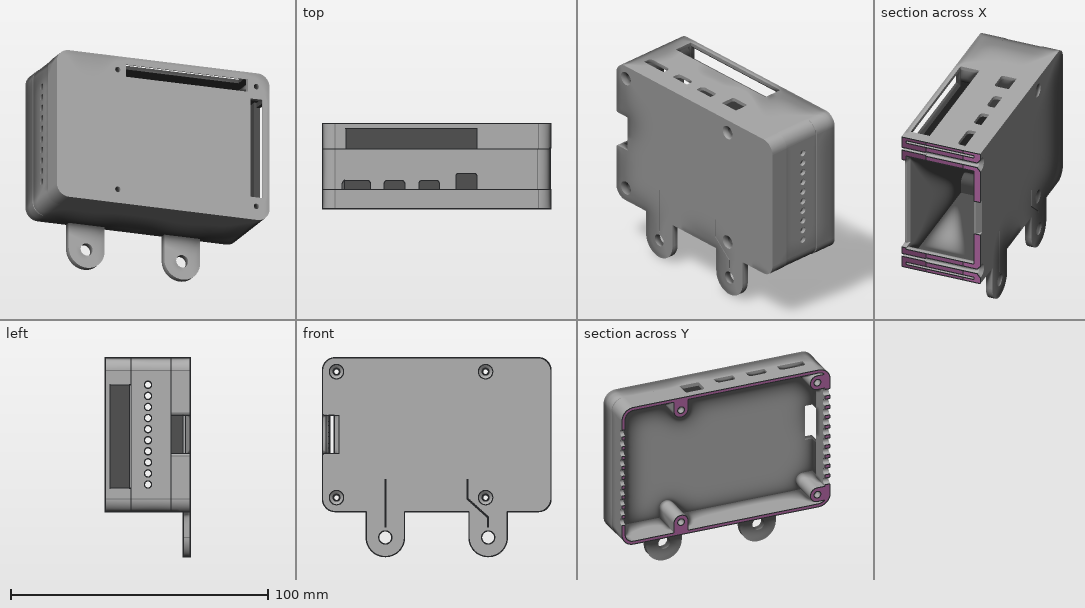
import cadquery as cq
import math

length = 89.0
height = 60.0
corner_radius = 5.0
wall = 1.5

total_depth = 33.19
base_depth = 7.6
cover_depth = 10.0
frame_front = base_depth
frame_back = total_depth - cover_depth

base_plate = 2.8
tab_radius = 7.5
tab_hole_diameter = 5.0
tab_centers_x = (24.5, 64.5)
tab_drop = 10.0

screw_diameter = 2.7
thread_diameter = 2.2
screw_head_diameter = 5.6
countersink_angle = 90.0
boss_radius = 3.1
screw_inset = 5.5
screw_spacing_x = 58.0
screw_points = [
    (x, z)
    for x in (screw_inset, screw_inset + screw_spacing_x)
    for z in (screw_inset, height - screw_inset)
]

notch_width = 4.6
notch_height = 14.8
notch_center_z = 30.1
notch_chamfer = 1.85
notch_fillet = 1.0

mark_width = 0.4
mark_depth = 0.4
mark_top_z = 12.6
mark_bottom_z = -6.0
mark_bend_x = 56.5
mark_bend_top_z = 5.0
mark_bend_bottom_z = -2.2

frame_length = length - 0.3
left_liner = 1.0
vent_diameter = 2.7
vent_count = 10
vent_pitch = 4.31
vent_center_z = 30.0
vent_y = 16.5

ports = (
    (7.7, 11.1, 3.5, 1.5),
    (24.0, 8.1, 3.5, 1.5),
    (37.5, 8.1, 3.5, 1.5),
    (52.0, 8.1, 6.2, 1.0),
)

cover_plate = 2.0
cover_inner_y = total_depth - cover_plate
slot_reach = 8.0
slot_edge_chamfer = 1.5
slot_far_chamfer = 1.0
left_slot_bottom = 9.2
left_slot_top = 49.4
top_slot_left = 9.1
top_slot_right = 60.1

gap_depth = 0.5
gap_inset = 3.0


def block(x0, x1, y0, y1, z0, z1):
    """Box between two opposite corners."""
    return cq.Workplane("XY").box(x1 - x0, y1 - y0, z1 - z0, centered=False).translate((x0, y0, z0))


def front_plane(y):
    """Sketch plane parallel to the front face; its normal points to -Y."""
    return cq.Workplane("XZ", origin=(0, y, 0))


def rounded_slab(y0, y1, slab_length, inset=0.0):
    """Rounded rectangle between y0 and y1, shrunk by inset on every side."""
    slab = block(inset, slab_length - inset, y0, y1, inset, height - inset)
    return slab.edges("|Y").fillet(corner_radius - inset)


def rods(points, diameter, y0, y1):
    """Cylinders along Y at the given (x, z) points."""
    return front_plane(y1).pushPoints(points).circle(diameter / 2).extrude(y1 - y0)


def y_prism(outline, y0, y1):
    """Prism along Y from a closed (x, z) outline."""
    return front_plane(y1).polyline(outline).close().extrude(y1 - y0)


def mounting_tab(center_x):
    """Rounded tab that hangs below the base plate."""
    stem = block(center_x - tab_radius, center_x + tab_radius, 0, base_plate, -tab_drop, base_plate)
    return stem.union(rods([(center_x, -tab_drop)], 2 * tab_radius, 0, base_plate))


def straight_mark():
    """Vertical groove above the left tab hole."""
    x = tab_centers_x[0]
    return block(x - mark_width / 2, x + mark_width / 2, 0, mark_depth, mark_bottom_z, mark_top_z)


def bent_mark():
    """Groove that steps sideways to clear the lower right screw."""
    half = mark_width / 2
    end_x = tab_centers_x[1]
    slope = math.atan2(mark_bend_top_z - mark_bend_bottom_z, end_x - mark_bend_x)
    shift = half * math.tan(slope / 2 - math.pi / 4)
    right_side = [
        (mark_bend_x + half, mark_top_z),
        (mark_bend_x + half, mark_bend_top_z - shift),
        (end_x + half, mark_bend_bottom_z - shift),
        (end_x + half, mark_bottom_z),
    ]
    left_side = [
        (end_x - half, mark_bottom_z),
        (end_x - half, mark_bend_bottom_z + shift),
        (mark_bend_x - half, mark_bend_top_z + shift),
        (mark_bend_x - half, mark_top_z),
    ]
    return y_prism(right_side + left_side, 0, mark_depth)


def connector_notch():
    """Opening through the left wall and plate, flared toward the front and left faces."""
    z0 = notch_center_z - notch_height / 2
    z1 = notch_center_z + notch_height / 2
    opening = (
        cq.Workplane("XY", origin=(0, 0, z0))
        .moveTo(0, 0)
        .lineTo(notch_width + notch_chamfer, 0)
        .lineTo(notch_width, notch_chamfer)
        .lineTo(notch_width, base_depth)
        .lineTo(0, base_depth)
        .close()
        .extrude(notch_height)
    )
    r = notch_fillet
    lower_flare = block(0, r, 0, base_depth, z0 - r, z0).cut(rods([(r, z0 - r)], 2 * r, 0, base_depth))
    upper_flare = block(0, r, 0, base_depth, z1, z1 + r).cut(rods([(r, z1 + r)], 2 * r, 0, base_depth))
    return opening.union(lower_flare).union(upper_flare)


def screw_bosses(y0, y1):
    """Round bosses: the left pair is webbed to the left wall, the other pair to the long walls."""
    bosses = rods(screw_points, 2 * boss_radius, y0, y1)
    for x, z in screw_points:
        if x == screw_inset:
            web = block(wall, x, y0, y1, z - boss_radius, z + boss_radius)
        else:
            wall_z = wall if z < height / 2 else height - wall
            web = block(x - boss_radius, x + boss_radius, y0, y1, min(z, wall_z), max(z, wall_z))
        bosses = bosses.union(web)
    return bosses.intersect(rounded_slab(y0, y1, length))


def make_base():
    body = rounded_slab(0, base_depth, length)
    body = body.cut(rounded_slab(base_plate, base_depth, length, wall))
    body = body.union(screw_bosses(base_plate, base_depth))
    for x in tab_centers_x:
        body = body.union(mounting_tab(x))
    tab_points = [(x, -tab_drop) for x in tab_centers_x]
    body = body.cut(rods(tab_points, tab_hole_diameter, 0, base_plate))
    body = body.cut(rods(screw_points, screw_diameter, 0, base_depth))
    sink_depth = screw_head_diameter / 2 / math.tan(math.radians(countersink_angle / 2))
    for x, z in screw_points:
        sink = cq.Solid.makeCone(
            screw_head_diameter / 2, 0, sink_depth, pnt=cq.Vector(x, 0, z), dir=cq.Vector(0, 1, 0)
        )
        body = body.cut(cq.Workplane(sink))
    return body.cut(connector_notch()).cut(straight_mark()).cut(bent_mark())


def port_cut(left, width, port_height, radius):
    """Port through the top wall, open at the seam with the base."""
    port = block(
        left,
        left + width,
        frame_front,
        frame_front + port_height,
        height - wall,
        height,
    )
    return port.edges("|Z and >Y").fillet(radius)


def left_wall_liner():
    """Extra thickness inside the left wall, beveled at 45 degrees at its front end."""
    return (
        cq.Workplane("XY")
        .moveTo(wall, frame_front)
        .lineTo(wall + left_liner, frame_front + left_liner)
        .lineTo(wall + left_liner, frame_back)
        .lineTo(wall, frame_back)
        .close()
        .extrude(height)
    )


def make_frame():
    body = rounded_slab(frame_front, frame_back, frame_length)
    cavity = rounded_slab(frame_front, frame_back, frame_length, wall)
    cavity = cavity.cut(left_wall_liner())
    body = body.cut(cavity)
    body = body.union(screw_bosses(frame_front, frame_back))
    body = body.cut(rods(screw_points, screw_diameter, frame_front, frame_back))
    for port in ports:
        body = body.cut(port_cut(*port))
    first_vent_z = vent_center_z - vent_pitch * (vent_count - 1) / 2
    vent_points = [(vent_y, first_vent_z + i * vent_pitch) for i in range(vent_count)]
    vents = cq.Workplane("YZ").pushPoints(vent_points).circle(vent_diameter / 2).extrude(length)
    return body.cut(vents)


def slot_profile(plane):
    """Slot section across one edge: a side window plus a flared opening in the back plate.

    The first sketch axis runs inward from the side face and the second runs along Y.
    """
    return (
        plane.moveTo(0, frame_back)
        .lineTo(0, cover_inner_y)
        .lineTo(wall, cover_inner_y)
        .lineTo(wall + slot_edge_chamfer, cover_inner_y + slot_edge_chamfer)
        .lineTo(wall + slot_edge_chamfer, total_depth)
        .lineTo(slot_reach, total_depth)
        .lineTo(slot_reach, cover_inner_y + slot_far_chamfer)
        .lineTo(slot_reach + slot_far_chamfer, cover_inner_y)
        .lineTo(slot_reach + slot_far_chamfer, frame_back)
        .close()
    )


def make_cover():
    body = rounded_slab(frame_back, total_depth, length)
    body = body.cut(rounded_slab(frame_back, cover_inner_y, length, wall))
    body = body.union(screw_bosses(frame_back, cover_inner_y))
    body = body.cut(rods(screw_points, thread_diameter, frame_back, total_depth))
    left_plane = cq.Workplane(cq.Plane((0, 0, left_slot_bottom), (1, 0, 0), (0, 0, 1)))
    body = body.cut(slot_profile(left_plane).extrude(left_slot_top - left_slot_bottom))
    top_plane = cq.Workplane(cq.Plane((top_slot_left, 0, height), (0, 0, -1), (1, 0, 0)))
    body = body.cut(slot_profile(top_plane).extrude(top_slot_right - top_slot_left))
    gap = block(length - wall, length, frame_back, frame_back + gap_depth, gap_inset, height - gap_inset)
    return body.cut(gap)


base = make_base()
frame = make_frame()
cover = make_cover()

result = cq.Compound.makeCompound([*base.solids().vals(), *frame.solids().vals(), *cover.solids().vals()])